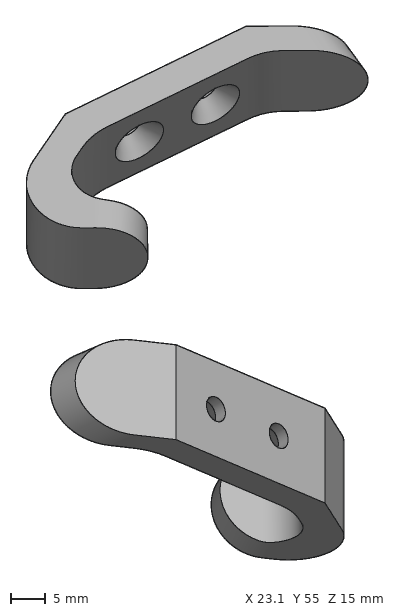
import cadquery as cq
import math

length = 55.0
depth = 23.1
width = 15.0
thickness = 5.0
arm_angle = math.radians(60)
plate_low = 12.05
plate_high = 42.05
hook_inner_radius = 5.0
bend_radius = 10.0
hole_diameter = 3.8
hole_depth = 2.0
screw_head_diameter = 8.0
hole_positions = (21.4, 34.05)

slope = math.tan(arm_angle)
end_radius = width / 2
hook_x = depth / 2
upper_arm_run = (length - plate_high) / slope

outer_v_y = plate_low - hook_x * slope
inner_v_y = outer_v_y + thickness / math.cos(arm_angle)
hook_outer_radius = -outer_v_y * math.cos(arm_angle) / (1 - math.cos(arm_angle))

tip_inner_x = depth - thickness * math.sin(arm_angle)
tip_inner_y = plate_low + thickness * math.cos(arm_angle)
inner_low_y = inner_v_y + (hook_x - thickness) * slope


def round_edge(body, x, y, radius):
    """Round the profile corner at (x, y) across the full width."""
    corner = cq.selectors.NearestToPointSelector((x, y, 0))
    return body.edges("|Z").edges(corner).fillet(radius)


def end_waste(plane):
    """Material outside a semicircular end; plane origin is the apex, its X axis points outward."""
    reach = 2 * thickness
    end_block = (
        cq.Workplane(plane)
        .center(-end_radius / 2, 0)
        .rect(end_radius, width)
        .extrude(reach, both=True)
    )
    round_end = cq.Workplane(plane).center(-end_radius, 0).circle(end_radius).extrude(reach, both=True)
    return end_block.cut(round_end)


strip_points = [
    (0, plate_low),
    (0, plate_high),
    (upper_arm_run, length),
    (upper_arm_run + thickness, length),
    (thickness, plate_high),
    (thickness, inner_low_y),
    (hook_x, inner_v_y),
    (tip_inner_x, tip_inner_y),
    (depth, plate_low),
    (hook_x, outer_v_y),
]
result = cq.Workplane("XY").polyline(strip_points).close().extrude(width / 2, both=True)

result = round_edge(result, hook_x, outer_v_y, hook_outer_radius)
result = round_edge(result, hook_x, inner_v_y, hook_inner_radius)
result = round_edge(result, thickness, inner_low_y, bend_radius)
result = round_edge(result, thickness, plate_high, bend_radius)

upper_plane = cq.Plane((upper_arm_run, length, 0), xDir=(0, 1, 0), normal=(1, 0, 0))
tip_plane = cq.Plane(
    (depth, plate_low, 0),
    xDir=(math.cos(arm_angle), math.sin(arm_angle), 0),
    normal=(-math.sin(arm_angle), math.cos(arm_angle), 0),
)
result = result.cut(end_waste(upper_plane)).cut(end_waste(tip_plane))

screw_profile = [
    (0, 0),
    (0, hole_diameter / 2),
    (hole_depth, hole_diameter / 2),
    (thickness, screw_head_diameter / 2),
    (thickness, 0),
]
for hole_y in hole_positions:
    hole = cq.Workplane("XY").polyline(screw_profile).close().revolve(360, (0, 0, 0), (1, 0, 0))
    result = result.cut(hole.translate((0, hole_y, 0)))